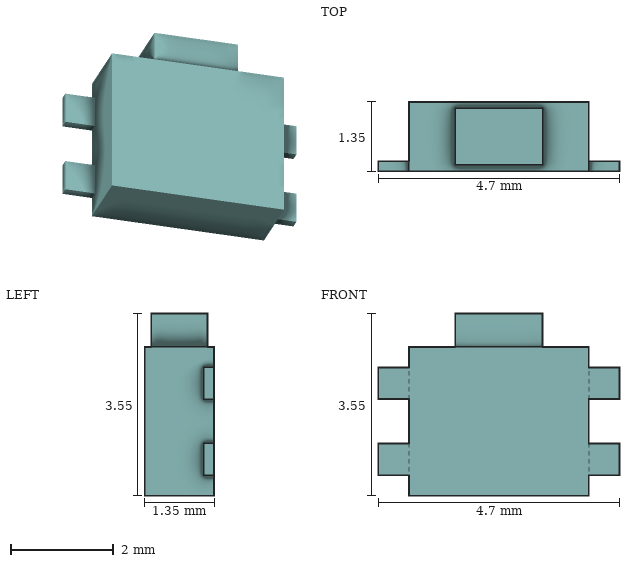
import cadquery as cq

body_width = 3.5
body_depth = 1.35
body_height = 2.9

button_width = 1.7
button_depth = 1.1
button_height = 0.65

overall_width = 4.7
lead_thickness = 0.2
lead_height = 0.62
lead_end_margin = 0.4

lower_lead_bottom = lead_end_margin
upper_lead_bottom = body_height - lead_end_margin - lead_height


def make_body():
    return cq.Workplane("XY").box(body_width, body_depth, body_height, centered=(True, False, False))


def make_button():
    button = cq.Workplane("XY").box(button_width, button_depth, button_height, centered=(True, True, False))
    return button.translate((0, body_depth / 2, body_height))


def make_lead_pair(bottom):
    """One bar running across the housing, its ends forming the left and right leads."""
    bar = cq.Workplane("XY").box(overall_width, lead_thickness, lead_height, centered=(True, False, False))
    return bar.translate((0, 0, bottom))


result = make_body().union(make_button())
for lead_bottom in (lower_lead_bottom, upper_lead_bottom):
    result = result.union(make_lead_pair(lead_bottom))
result = result.clean()